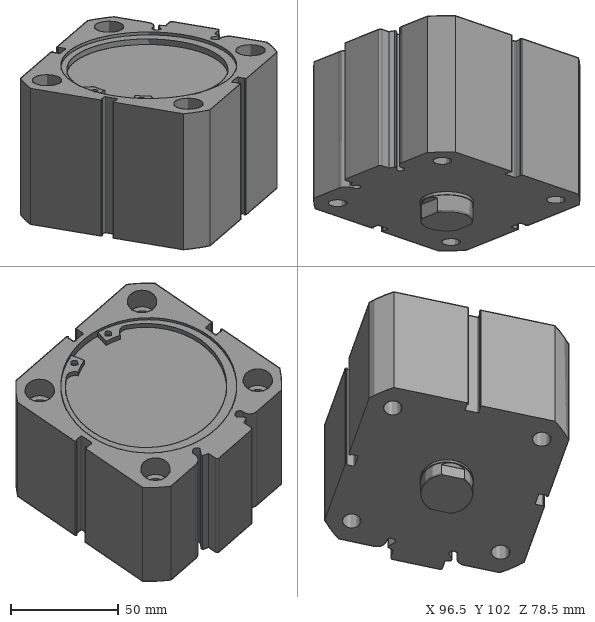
import cadquery as cq
import math

SIDE = 96.5
HALF_SIDE = SIDE / 2
HOUSING_HEIGHT = 68.5
CORNER_DIAMETER = 124.0

HOLE_PITCH = 72.0
HOLE_DIAMETER = 8.6
COUNTERBORE_DIAMETER = 13.6
COUNTERBORE_DEPTH = 12.0

SLOT_WIDTH = 6.6
SLOT_DEPTH = 4.6
SLOT_MOUTH_WIDTH = 5.5
SLOT_LIP = 0.8
SLOT_MOUTH_CHAMFER = 0.4
SLOT_FLOOR_FILLET = 0.5

RAIL_WIDTH = 25.0
RAIL_RISE = 5.5
RAIL_TOP_Y = HALF_SIDE + RAIL_RISE
RAIL_EDGE_FILLET = 1.2
DOVETAIL_TIP_X = 15.3
DOVETAIL_TIP_TOP_Y = 47.1
DOVETAIL_TIP_BOTTOM_Y = 46.2
GROOVE_RADIUS = 2.1
GROOVE_OUTER_X = 17.1
GROOVE_X = GROOVE_OUTER_X - GROOVE_RADIUS
GROOVE_BOTTOM_Y = 41.25
GROOVE_Y = GROOVE_BOTTOM_Y + GROOVE_RADIUS
GROOVE_ENTRY_RADIUS = 4.5

BORE_DIAMETER = 82.0
RIM_DEPTH = 1.5
RING_THICKNESS = 2.8
COVER_THICKNESS = 12.0
RING_TOP_Z = HOUSING_HEIGHT - RIM_DEPTH
RING_BOTTOM_Z = RING_TOP_Z - RING_THICKNESS
COVER_BOTTOM_Z = RING_BOTTOM_Z - COVER_THICKNESS

RING_OPENING_RADIUS = 37.6
RING_OPENING_Y = -1.7
EAR_TIP_RADIUS = 34.2
EAR_END_ANGLE = 13.0
EAR_FILLET_RADIUS = 4.3
EAR_FILLET_X = 18.8
EYE_DIAMETER = 3.2
EYE_PITCH_RADIUS = 37.7
EYE_ANGLE = 18.4

ROD_DIAMETER = 25.0
ROD_END_DIAMETER = 24.4
ROD_PROJECTION = 10.0
ROD_COLLAR_LENGTH = 1.6
ROD_END_CHAMFER = 0.2
ROD_END_CHAMFER_LENGTH = 0.7
FLAT_SPACING = 21.8
FLAT_RAMP_ANGLE = 45.0


def polar(radius, angle):
    """Point at an angle in degrees measured from -Y towards +X."""
    radians = math.radians(angle)
    return radius * math.sin(radians), -radius * math.cos(radians)


def make_slot(angle):
    """Cutter for a slot in the -Y face, turned about the bore axis."""
    channel_length = SLOT_DEPTH - SLOT_LIP
    channel = (
        cq.Workplane("XY")
        .center(0, -HALF_SIDE + SLOT_LIP + channel_length / 2)
        .rect(SLOT_WIDTH, channel_length)
        .extrude(HOUSING_HEIGHT)
        .edges("|Z and >Y")
        .fillet(SLOT_FLOOR_FILLET)
    )
    mouth_x = SLOT_MOUTH_WIDTH / 2
    flared_x = mouth_x + SLOT_MOUTH_CHAMFER
    mouth = (
        cq.Workplane("XY")
        .moveTo(-flared_x, -HALF_SIDE)
        .lineTo(-mouth_x, -HALF_SIDE + SLOT_MOUTH_CHAMFER)
        .lineTo(-mouth_x, -HALF_SIDE + SLOT_LIP)
        .lineTo(mouth_x, -HALF_SIDE + SLOT_LIP)
        .lineTo(mouth_x, -HALF_SIDE + SLOT_MOUTH_CHAMFER)
        .lineTo(flared_x, -HALF_SIDE)
        .close()
        .extrude(HOUSING_HEIGHT)
    )
    return channel.union(mouth).rotate((0, 0, 0), (0, 0, 1), angle)


def make_rail():
    """Rail that stands proud of the +Y face."""
    base_y = HALF_SIDE - RAIL_RISE
    return (
        cq.Workplane("XY")
        .center(0, (base_y + RAIL_TOP_Y) / 2)
        .rect(RAIL_WIDTH, RAIL_TOP_Y - base_y)
        .extrude(HOUSING_HEIGHT)
        .edges("|Z and >Y")
        .fillet(RAIL_EDGE_FILLET)
    )


def make_dovetail_groove():
    """Cutter for the groove on the +X side of the rail."""
    entry_y = HALF_SIDE - GROOVE_ENTRY_RADIUS
    entry_x = GROOVE_OUTER_X + GROOVE_ENTRY_RADIUS
    entry_mid_x = entry_x - GROOVE_ENTRY_RADIUS * math.sqrt(0.5)
    entry_mid_y = entry_y + GROOVE_ENTRY_RADIUS * math.sqrt(0.5)
    return (
        cq.Workplane("XY")
        .moveTo(RAIL_WIDTH / 2, HALF_SIDE)
        .lineTo(DOVETAIL_TIP_X, DOVETAIL_TIP_TOP_Y)
        .lineTo(DOVETAIL_TIP_X, DOVETAIL_TIP_BOTTOM_Y)
        .lineTo(GROOVE_X - GROOVE_RADIUS, GROOVE_Y)
        .threePointArc((GROOVE_X, GROOVE_BOTTOM_Y), (GROOVE_OUTER_X, GROOVE_Y))
        .lineTo(GROOVE_OUTER_X, entry_y)
        .threePointArc((entry_mid_x, entry_mid_y), (entry_x, HALF_SIDE))
        .close()
        .extrude(HOUSING_HEIGHT)
    )


def make_housing():
    rounded_corners = cq.Workplane("XY").circle(CORNER_DIAMETER / 2).extrude(HOUSING_HEIGHT)
    body = cq.Workplane("XY").rect(SIDE, SIDE).extrude(HOUSING_HEIGHT).intersect(rounded_corners)
    body = body.union(make_rail())

    groove = make_dovetail_groove()
    body = body.cut(groove).cut(groove.mirror("YZ"))
    for angle in (-90, 0, 90):
        body = body.cut(make_slot(angle))

    body = (
        body.faces(">Z")
        .workplane(origin=(0, 0, HOUSING_HEIGHT))
        .rect(HOLE_PITCH, HOLE_PITCH, forConstruction=True)
        .vertices()
        .cboreHole(HOLE_DIAMETER, COUNTERBORE_DIAMETER, COUNTERBORE_DEPTH)
    )
    recess = (
        cq.Workplane("XY")
        .workplane(offset=COVER_BOTTOM_Z)
        .circle(BORE_DIAMETER / 2)
        .extrude(HOUSING_HEIGHT - COVER_BOTTOM_Z)
    )
    rod_hole = cq.Workplane("XY").circle(ROD_DIAMETER / 2).extrude(COVER_BOTTOM_Z)
    return body.cut(recess).cut(rod_hole)


def make_cover():
    return (
        cq.Workplane("XY")
        .workplane(offset=COVER_BOTTOM_Z)
        .circle(BORE_DIAMETER / 2)
        .extrude(COVER_THICKNESS)
    )


def make_retaining_ring():
    fillet_drop = math.sqrt((RING_OPENING_RADIUS - EAR_FILLET_RADIUS) ** 2 - EAR_FILLET_X**2)
    fillet_y = RING_OPENING_Y - fillet_drop
    tangent_scale = RING_OPENING_RADIUS / (RING_OPENING_RADIUS - EAR_FILLET_RADIUS)
    tangent_x = EAR_FILLET_X * tangent_scale
    tangent_y = RING_OPENING_Y - fillet_drop * tangent_scale

    fillet_distance = math.hypot(EAR_FILLET_X, fillet_y)
    fillet_angle = math.degrees(math.atan2(EAR_FILLET_X, -fillet_y))
    corner_cosine = (EAR_TIP_RADIUS**2 + fillet_distance**2 - EAR_FILLET_RADIUS**2) / (
        2 * EAR_TIP_RADIUS * fillet_distance
    )
    corner_angle = fillet_angle - math.degrees(math.acos(corner_cosine))
    corner_x, corner_y = polar(EAR_TIP_RADIUS, corner_angle)

    chord_x = (corner_x + tangent_x) / 2 - EAR_FILLET_X
    chord_y = (corner_y + tangent_y) / 2 - fillet_y
    bisector_scale = EAR_FILLET_RADIUS / math.hypot(chord_x, chord_y)
    fillet_mid_x = EAR_FILLET_X + chord_x * bisector_scale
    fillet_mid_y = fillet_y + chord_y * bisector_scale

    outer_x, outer_y = polar(BORE_DIAMETER / 2, EAR_END_ANGLE)
    tip_x, tip_y = polar(EAR_TIP_RADIUS, EAR_END_ANGLE)
    tip_mid_x, tip_mid_y = polar(EAR_TIP_RADIUS, (EAR_END_ANGLE + corner_angle) / 2)
    eye_x, eye_y = polar(EYE_PITCH_RADIUS, EYE_ANGLE)

    ring = (
        cq.Workplane("XY")
        .workplane(offset=RING_BOTTOM_Z)
        .moveTo(outer_x, outer_y)
        .lineTo(tip_x, tip_y)
        .threePointArc((tip_mid_x, tip_mid_y), (corner_x, corner_y))
        .threePointArc((fillet_mid_x, fillet_mid_y), (tangent_x, tangent_y))
        .threePointArc((0, RING_OPENING_Y + RING_OPENING_RADIUS), (-tangent_x, tangent_y))
        .threePointArc((-fillet_mid_x, fillet_mid_y), (-corner_x, corner_y))
        .threePointArc((-tip_mid_x, tip_mid_y), (-tip_x, tip_y))
        .lineTo(-outer_x, outer_y)
        .threePointArc((0, BORE_DIAMETER / 2), (outer_x, outer_y))
        .close()
        .extrude(RING_THICKNESS)
    )
    eyes = (
        cq.Workplane("XY")
        .workplane(offset=RING_BOTTOM_Z)
        .pushPoints([(eye_x, eye_y), (-eye_x, eye_y)])
        .circle(EYE_DIAMETER / 2)
        .extrude(RING_THICKNESS)
    )
    return ring.cut(eyes)


def make_flat_cutter():
    """Cutter for the wrench flat on the +Y side, ending in a ramp below the collar."""
    flat_y = FLAT_SPACING / 2
    end_radius = ROD_END_DIAMETER / 2
    ramp_height = (end_radius - flat_y) * math.tan(math.radians(FLAT_RAMP_ANGLE))
    return (
        cq.Workplane("YZ")
        .moveTo(flat_y, -ROD_PROJECTION)
        .lineTo(flat_y, -ROD_COLLAR_LENGTH - ramp_height)
        .lineTo(end_radius, -ROD_COLLAR_LENGTH)
        .lineTo(end_radius, -ROD_PROJECTION)
        .close()
        .extrude(ROD_DIAMETER / 2, both=True)
    )


def make_rod():
    end_radius = ROD_END_DIAMETER / 2
    rod = (
        cq.Workplane("XZ")
        .moveTo(0, -ROD_PROJECTION)
        .lineTo(end_radius - ROD_END_CHAMFER, -ROD_PROJECTION)
        .lineTo(end_radius, -ROD_PROJECTION + ROD_END_CHAMFER_LENGTH)
        .lineTo(end_radius, -ROD_COLLAR_LENGTH)
        .lineTo(ROD_DIAMETER / 2, -ROD_COLLAR_LENGTH)
        .lineTo(ROD_DIAMETER / 2, COVER_BOTTOM_Z)
        .lineTo(0, COVER_BOTTOM_Z)
        .close()
        .revolve(360, (0, 0, 0), (0, 1, 0))
    )
    flat = make_flat_cutter()
    return rod.cut(flat).cut(flat.mirror("XZ"))


housing = make_housing()
cover = make_cover()
retaining_ring = make_retaining_ring()
rod = make_rod()

result = cq.Compound.makeCompound([housing.val(), cover.val(), retaining_ring.val(), rod.val()])